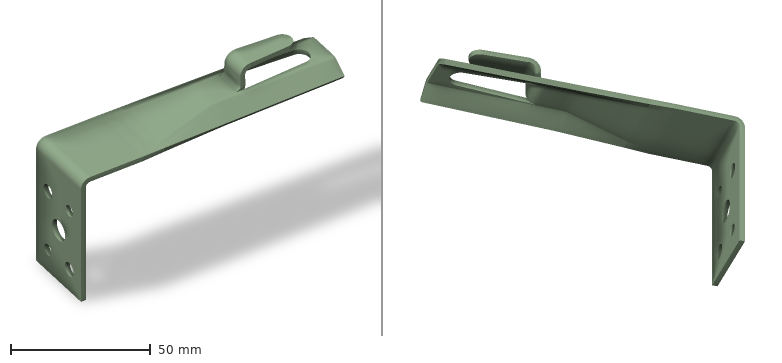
import cadquery as cq
import math

thickness = 2.0
length = 113.3
total_height = 68.5

base_half_width = 14.7
shelf_z = 54.0
corner_radius = 4.0

tip_half_width = 13.5
ridge_z = 58.7
ridge_half_width = 6.0
fold_radius = 2.6
flat_fold_width = 0.1

shelf_end_y = 26.4
ramp_start_y = 35.7
ramp_end_y = 59.9
ridge_start_y = 63.0

shelf_end_ridge_half = 12.0
ramp_start_ridge_half = 11.0

root_y = 72.3
root_radius = 1.8
hook_radius = 4.4
root_half_width = 5.7
arm_half_width = 5.0
tongue_end_y = 99.4
tongue_end_half_width = 4.0

slot_end_y = 106.7
slot_end_half_width = 4.1
slot_root_half_width = 5.9

hole_center_z = 22.7
center_hole = 8.5
large_hole = 5.7
small_hole = 4.6
hole_pitch_x = 14.0
hole_pitch_z = 26.1


def edge_half_width(y):
    """Outer half width of the arm, tapering straight from the shelf to the tip."""
    share = (y - shelf_end_y) / (length - shelf_end_y)
    return base_half_width + share * (tip_half_width - base_half_width)


def fold_section(y, ridge_half, top_z):
    """Closed cross-section of the folded sheet, square to Y."""
    edge = edge_half_width(y)
    center_z = top_z - fold_radius
    rise = shelf_z - center_z
    slant = math.atan2(edge - ridge_half, rise)
    angle = slant - math.acos(fold_radius / math.hypot(edge - ridge_half, rise))
    is_flat = top_z == shelf_z

    def on_fold(radius, turn):
        return (ridge_half + radius * math.sin(turn), center_z + radius * math.cos(turn))

    def face_points(radius, drop):
        start = on_fold(radius, 0)
        end = on_fold(radius, angle)
        if is_flat:
            end = (ridge_half + flat_fold_width, start[1])
        outer = (edge - drop * math.sin(angle), shelf_z - drop * math.cos(angle))
        return start, on_fold(radius, angle / 2), end, outer

    def point(x, z):
        return cq.Vector(x, y, z)

    def fold_edge(first, middle, last, side):
        ends = point(side * first[0], first[1]), point(side * last[0], last[1])
        if is_flat:
            return cq.Edge.makeLine(*ends)
        return cq.Edge.makeThreePointArc(ends[0], point(side * middle[0], middle[1]), ends[1])

    def line(first, last, first_side, last_side):
        return cq.Edge.makeLine(point(first_side * first[0], first[1]), point(last_side * last[0], last[1]))

    top_start, top_mid, top_end, top_outer = face_points(fold_radius, 0)
    low_start, low_mid, low_end, low_outer = face_points(fold_radius - thickness, thickness)
    edges = [
        line(top_start, top_start, -1, 1),
        fold_edge(top_start, top_mid, top_end, 1),
        line(top_end, top_outer, 1, 1),
        line(top_outer, low_outer, 1, 1),
        line(low_outer, low_end, 1, 1),
        fold_edge(low_end, low_mid, low_start, 1),
        line(low_start, low_start, 1, -1),
        fold_edge(low_start, low_mid, low_end, -1),
        line(low_end, low_outer, -1, -1),
        line(low_outer, top_outer, -1, -1),
        line(top_outer, top_end, -1, -1),
        fold_edge(top_end, top_mid, top_start, -1),
    ]
    return cq.Wire.assembleEdges(edges)


def raised_arm():
    """Flat shelf end, concave bend, straight ramp, convex bend, straight ridge."""
    foot_y = (shelf_end_y + ramp_start_y) / 2
    head_y = (ramp_end_y + ridge_start_y) / 2
    slope = (ridge_z - shelf_z) / (head_y - foot_y)
    ramp_start_z = shelf_z + slope * (ramp_start_y - foot_y)
    ramp_end_z = shelf_z + slope * (ramp_end_y - foot_y)
    foot_z = shelf_z + (ramp_start_z - shelf_z) / 4
    head_z = ridge_z - (ridge_z - ramp_end_z) / 4
    ramp_widening = (ramp_start_ridge_half - ridge_half_width) / (ramp_end_y - ramp_start_y)
    bend_widening = ramp_widening * (ramp_start_y - shelf_end_y)
    shelf_widening = shelf_end_ridge_half - ramp_start_ridge_half
    foot_ridge_half = ramp_start_ridge_half + (bend_widening + shelf_widening) / 4

    shelf_end = fold_section(shelf_end_y, shelf_end_ridge_half, shelf_z)
    foot = fold_section(foot_y, foot_ridge_half, foot_z)
    ramp_start = fold_section(ramp_start_y, ramp_start_ridge_half, ramp_start_z)
    ramp_end = fold_section(ramp_end_y, ridge_half_width, ramp_end_z)
    head = fold_section(head_y, ridge_half_width, head_z)
    ridge_start = fold_section(ridge_start_y, ridge_half_width, ridge_z)
    tip = fold_section(length, ridge_half_width, ridge_z)

    pieces = [
        cq.Solid.makeLoft([shelf_end, foot, ramp_start]),
        cq.Solid.makeLoft([ramp_start, ramp_end], True),
        cq.Solid.makeLoft([ramp_end, head, ridge_start]),
        cq.Solid.makeLoft([ridge_start, tip], True),
    ]
    arm = cq.Workplane(pieces[0])
    for piece in pieces[1:]:
        arm = arm.union(cq.Workplane(piece))
    return arm


def wall_bracket():
    """Wall plate and shelf joined by a rounded bend."""
    inner_radius = corner_radius - thickness
    return (
        cq.Workplane("YZ")
        .moveTo(0, 0)
        .lineTo(0, shelf_z - corner_radius)
        .radiusArc((corner_radius, shelf_z), corner_radius)
        .lineTo(shelf_end_y, shelf_z)
        .lineTo(shelf_end_y, shelf_z - thickness)
        .lineTo(corner_radius, shelf_z - thickness)
        .radiusArc((thickness, shelf_z - corner_radius), -inner_radius)
        .lineTo(thickness, 0)
        .close()
        .extrude(base_half_width, both=True)
    )


def rounded_taper(start_y, start_half, end_y, end_half, bottom_z, top_z):
    """Block tapering along +Y in plan, with a round end."""
    round_y = end_y - end_half
    return (
        cq.Workplane("XY", origin=(0, 0, bottom_z))
        .moveTo(-start_half, start_y)
        .lineTo(-end_half, round_y)
        .threePointArc((0, end_y), (end_half, round_y))
        .lineTo(start_half, start_y)
        .close()
        .extrude(top_z - bottom_z)
    )


def hook():
    """Tongue bent up at its root, then forward over the slot."""
    outer_root_radius = root_radius + thickness
    back_y = root_y + root_radius
    front_y = back_y + thickness
    bend_end_y = back_y + hook_radius
    bend_start_z = total_height - hook_radius
    root_top_z = ridge_z + root_radius
    low_z = ridge_z - thickness

    strip = (
        cq.Workplane("YZ")
        .moveTo(root_y, ridge_z)
        .radiusArc((back_y, root_top_z), -root_radius)
        .lineTo(back_y, bend_start_z)
        .radiusArc((bend_end_y, total_height), hook_radius)
        .lineTo(tongue_end_y, total_height)
        .lineTo(tongue_end_y, total_height - thickness)
        .lineTo(bend_end_y, total_height - thickness)
        .radiusArc((front_y, bend_start_z), -(hook_radius - thickness))
        .lineTo(front_y, root_top_z)
        .radiusArc((root_y, low_z), outer_root_radius)
        .close()
        .extrude(base_half_width, both=True)
    )
    riser_outline = (
        cq.Workplane("XZ", origin=(0, root_y, 0))
        .polyline([
            (-root_half_width, low_z),
            (-arm_half_width, total_height),
            (arm_half_width, total_height),
            (root_half_width, low_z),
        ])
        .close()
        .extrude(root_y - bend_end_y)
    )
    arm_outline = rounded_taper(
        bend_end_y, arm_half_width, tongue_end_y, tongue_end_half_width, low_z, total_height
    )
    return strip.intersect(riser_outline.union(arm_outline))


def wall_holes():
    """Center hole and two diagonal pairs through the wall plate."""
    wall = cq.Workplane("XZ", origin=(0, 0, hole_center_z))
    x = hole_pitch_x / 2
    z = hole_pitch_z / 2
    drills = wall.circle(center_hole / 2).extrude(-thickness)
    for diameter, side in ((large_hole, -1), (small_hole, 1)):
        pair = wall.pushPoints([(side * x, z), (-side * x, -z)])
        drills = drills.union(pair.circle(diameter / 2).extrude(-thickness))
    return drills


slot = rounded_taper(root_y, slot_root_half_width, slot_end_y, slot_end_half_width, shelf_z, ridge_z)

result = raised_arm().cut(slot).union(wall_bracket()).union(hook()).cut(wall_holes())